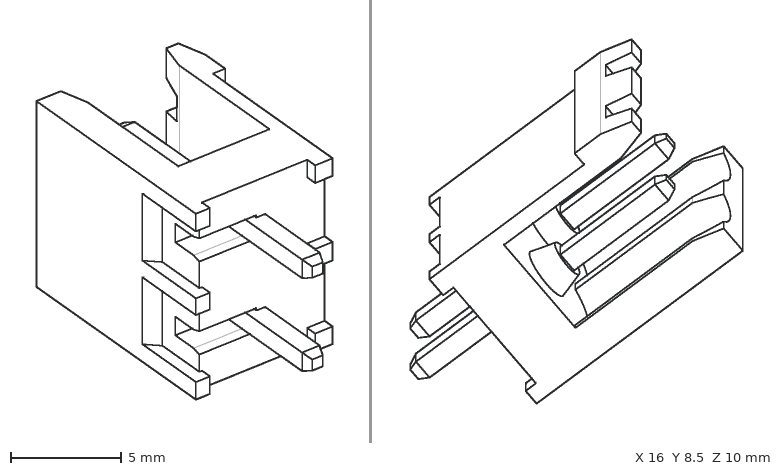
import cadquery as cq


housing_length = 12.0
housing_height = 10.0
housing_depth = 8.5
cavity_floor_x = 8.3
back_face_x = 11.4
plain_wall_inner_y = 1.8
latch_wall_inner_y = 7.0
latch_wall_outer_y = 7.8
latch_lip_length = 3.0
lead_in_length = 1.5
lead_in_depth = 0.4
plain_rib_depth = 0.8
latch_rib_depth = 1.0

pole_pitch = 5.0
middle_z = housing_height / 2
pole_zs = (middle_z - pole_pitch / 2, middle_z + pole_pitch / 2)
pin_y = 3.9

pin_start_x = 1.1
pin_end_x = 16.0
pin_size = 1.0
pin_tip_size = 0.6
pin_tip_length = 0.5

collar_length = 1.2
collar_base_diameter = 2.5
collar_tip_diameter = 1.8

scallop_radius = 3.0
notch_depth = 1.25
notch_mouth_height = 1.8
notch_floor_height = 1.35

end_rib_height = 0.95
plain_middle_rib_height = 0.9
latch_middle_rib_height = 1.0
window_start_x = 7.98
window_depth = 0.65

slot_start_x = 9.6
slot_flare_length = 0.45
slot_mouth_height = 1.25


def extrude_up(points, bottom_z, top_z):
    """Prism along Z over a polygon in the XY plane."""
    return cq.Workplane("XY").workplane(offset=bottom_z).polyline(points).close().extrude(top_z - bottom_z)


def frustum(start_x, length, start_size, end_size):
    """Square frustum along X, centred on the X axis."""
    return (
        cq.Workplane("YZ").workplane(offset=start_x).rect(start_size, start_size)
        .workplane(offset=length).rect(end_size, end_size).loft(combine=True)
    )


def housing_blank():
    outline = [
        (0, 0),
        (housing_length, 0),
        (housing_length, plain_rib_depth),
        (back_face_x, plain_rib_depth),
        (back_face_x, latch_wall_outer_y - latch_rib_depth),
        (housing_length, latch_wall_outer_y - latch_rib_depth),
        (housing_length, latch_wall_outer_y),
        (latch_lip_length, latch_wall_outer_y),
        (latch_lip_length, housing_depth),
        (lead_in_length, housing_depth),
        (0, housing_depth - lead_in_depth),
        (0, latch_wall_inner_y + lead_in_depth),
        (lead_in_length, latch_wall_inner_y),
        (cavity_floor_x, latch_wall_inner_y),
        (cavity_floor_x, plain_wall_inner_y),
        (lead_in_length, plain_wall_inner_y),
        (0, plain_wall_inner_y - lead_in_depth),
    ]
    return extrude_up(outline, 0, housing_height)


def scallop(pole_z):
    """Round clearance about the pin axis, kept to the plain wall's side of the pin."""
    cylinder = cq.Workplane("YZ").center(pin_y, pole_z).circle(scallop_radius).extrude(cavity_floor_x)
    plain_side = cq.Workplane("XY").box(cavity_floor_x, pin_y, housing_height, centered=False)
    return cylinder.intersect(plain_side)


def latch_notch(pole_z):
    """Notch through the latch wall mouth, narrowing with depth."""
    half_mouth = notch_mouth_height / 2
    half_floor = notch_floor_height / 2
    profile = [
        (0, pole_z - half_mouth),
        (notch_depth, pole_z - half_floor),
        (notch_depth, pole_z + half_floor),
        (0, pole_z + half_mouth),
    ]
    return (
        cq.Workplane("XZ", origin=(0, housing_depth, 0))
        .polyline(profile).close().extrude(housing_depth - latch_wall_inner_y)
    )


def rear_window_spans(middle_rib_height):
    """Z ranges of the two openings between the end ribs and the middle rib."""
    half_rib = middle_rib_height / 2
    return (
        (end_rib_height, middle_z - half_rib),
        (middle_z + half_rib, housing_height - end_rib_height),
    )


def plain_wall_window(bottom_z, top_z):
    """Recess with a sloped inner end that also cuts the rib strip behind the back face."""
    outline = [
        (window_start_x, 0),
        (window_start_x + window_depth, window_depth),
        (back_face_x, window_depth),
        (back_face_x, plain_rib_depth),
        (housing_length, plain_rib_depth),
        (housing_length, 0),
    ]
    return extrude_up(outline, bottom_z, top_z)


def latch_wall_gap(bottom_z, top_z):
    """Gap between the latch wall ribs behind the back face."""
    rib_length = housing_length - back_face_x
    return cq.Workplane("XY").box(rib_length, latch_rib_depth, top_z - bottom_z, centered=False).translate(
        (back_face_x, latch_wall_outer_y - latch_rib_depth, bottom_z)
    )


def pin_slot(pole_z):
    """Slot down to the pin axis, as high as the pin and flared where it meets the back face."""
    half_pin = pin_size / 2
    half_mouth = slot_mouth_height / 2
    flare_start_x = back_face_x - slot_flare_length
    profile = [
        (slot_start_x, pole_z - half_pin),
        (flare_start_x, pole_z - half_pin),
        (back_face_x, pole_z - half_mouth),
        (back_face_x, pole_z + half_mouth),
        (flare_start_x, pole_z + half_pin),
        (slot_start_x, pole_z + half_pin),
    ]
    return cq.Workplane("XZ", origin=(0, pin_y, 0)).polyline(profile).close().extrude(pin_y)


def pin_with_collar(pole_z):
    shank_start_x = pin_start_x + pin_tip_length
    shank_end_x = pin_end_x - pin_tip_length
    shank = cq.Workplane("YZ").workplane(offset=shank_start_x).rect(pin_size, pin_size)
    shank = shank.extrude(shank_end_x - shank_start_x)
    front_tip = frustum(pin_start_x, pin_tip_length, pin_tip_size, pin_size)
    rear_tip = frustum(shank_end_x, pin_tip_length, pin_size, pin_tip_size)
    collar = (
        cq.Workplane("YZ").workplane(offset=cavity_floor_x - collar_length).circle(collar_tip_diameter / 2)
        .workplane(offset=collar_length).circle(collar_base_diameter / 2).loft(combine=True)
    )
    pin = shank.union(front_tip).union(rear_tip).union(collar)
    return pin.translate((0, pin_y, pole_z))


result = housing_blank()
for span in rear_window_spans(plain_middle_rib_height):
    result = result.cut(plain_wall_window(*span))
for span in rear_window_spans(latch_middle_rib_height):
    result = result.cut(latch_wall_gap(*span))
for pole_z in pole_zs:
    result = result.cut(scallop(pole_z)).cut(latch_notch(pole_z)).cut(pin_slot(pole_z))
for pole_z in pole_zs:
    result = result.union(pin_with_collar(pole_z))